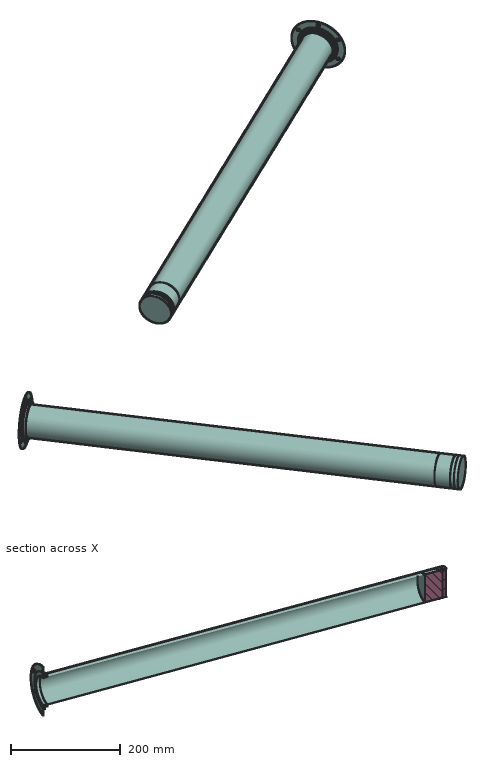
import cadquery as cq

total_length = 820.0
tube_radius = 31.0
tube_wall = 1.2

flange_radius = 52.5
flange_thickness = 1.0
collar_radius = 34.5
collar_height = 8.0
boss_radius = 38.5
boss_height = 3.0
screw_count = 6
screw_circle_radius = 45.0
screw_hole_radius = 2.9
first_screw_angle = 90

insert_rim_height = 7.0
insert_plug_height = 29.5
pad_height = 7.0

bore_radius = tube_radius - tube_wall
foot_end = -total_length / 2
rim_start = foot_end + pad_height
tube_start = rim_start + insert_rim_height
flange_back = total_length / 2
flange_front = flange_back - flange_thickness
collar_start = flange_back - collar_height
boss_front = flange_back - boss_height


def cylinder(radius, start, end):
    """Solid cylinder on the Y axis, from Y = start to Y = end."""
    plane = cq.Plane(origin=(0, start, 0), xDir=(1, 0, 0), normal=(0, 1, 0))
    return cq.Workplane(plane).circle(radius).extrude(end - start)


def screw_holes():
    """Ring of through holes in the flange."""
    plane = cq.Plane(origin=(0, flange_front, 0), xDir=(1, 0, 0), normal=(0, 1, 0))
    return (
        cq.Workplane(plane)
        .polarArray(screw_circle_radius, first_screw_angle, 360, screw_count)
        .circle(screw_hole_radius)
        .extrude(flange_thickness)
    )


def make_leg():
    """Thin-walled tube with its screw flange and a stepped collar between them."""
    body = (
        cq.Workplane("XY")
        .moveTo(bore_radius, tube_start)
        .lineTo(tube_radius, tube_start)
        .lineTo(tube_radius, collar_start)
        .lineTo(collar_radius, collar_start)
        .lineTo(collar_radius, boss_front)
        .lineTo(boss_radius, boss_front)
        .lineTo(boss_radius, flange_front)
        .lineTo(flange_radius, flange_front)
        .lineTo(flange_radius, flange_back)
        .lineTo(bore_radius, flange_back)
        .close()
        .revolve(360, (0, 0, 0), (0, 1, 0))
    )
    return body.cut(screw_holes())


def make_foot_insert():
    """Rim flush with the tube, with a plug that fills the end of the bore."""
    rim = cylinder(tube_radius, rim_start, tube_start)
    plug = cylinder(bore_radius, tube_start, tube_start + insert_plug_height)
    return rim.union(plug)


def make_foot_pad():
    """Plain disc that closes the end of the leg."""
    return cylinder(tube_radius, foot_end, rim_start)


leg = make_leg()
foot_insert = make_foot_insert()
foot_pad = make_foot_pad()

result = cq.Compound.makeCompound([leg.val(), foot_insert.val(), foot_pad.val()])